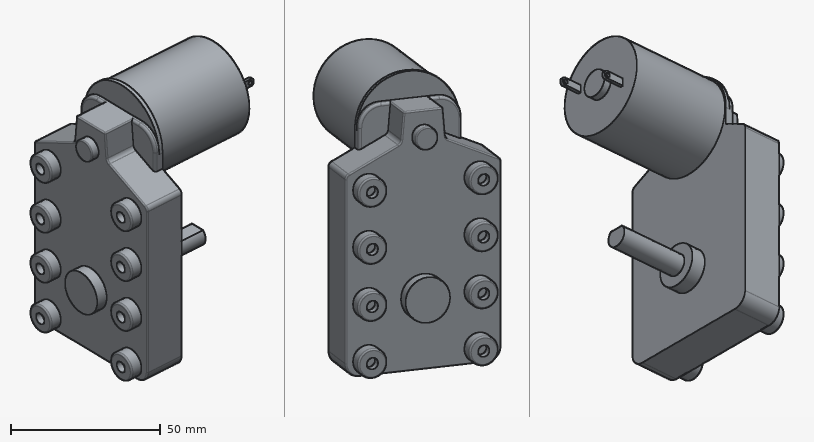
import cadquery as cq
import math


housing_width = 56.0
housing_depth = 15.8
shoulder_z = 70.9
shoulder_angle = 25
neck_half_width = 8.0
neck_draft = 5
neck_top_z = 91.1
bottom_corner_radius = 5.0
shoulder_radius = 2.0
edge_radius = 0.5

overall_height = 100.5
motor_diameter = 36.0
motor_length = 40.0
flange_half_width = 18.5
flange_thickness = 1.6
motor_z = 81.8

plate_thickness = 2.0
plate_corner_radius = 8.0
plate_edge_radius = 1.0

bearing_diameter = 10.0
bearing_length = 2.8
terminal_length = 8.2
terminal_width = 2.9
terminal_thickness = 1.2
terminal_x = 10.5
terminal_z_offset = 3.5
terminal_corner_radius = 1.1
terminal_hole_diameter = 1.5
terminal_hole_inset = 1.5

screw_head_diameter = 10.5
screw_head_height = 4.6
screw_head_radius = 0.6
screw_socket_diameter = 4.0
screw_socket_depth = 3.0
screw_pitch = 20.0
screw_rows = 4
first_screw_z = 5.5

shaft_z = first_screw_z + screw_pitch
shaft_boss_diameter = 16.0
rear_boss_length = 5.6
front_boss_length = 4.3
shaft_diameter = 8.0
shaft_end_y = 32.9
flat_length = 15.1
flat_depth = 1.1
pin_diameter = 8.0
pin_length = 3.2
pin_edge_radius = 0.4


def cylinder(diameter, y_start, y_end, x, z):
    """Cylinder along Y between two Y positions."""
    start = cq.Vector(x, y_start, z)
    direction = cq.Vector(0, y_end - y_start, 0)
    return cq.Workplane(obj=cq.Solid.makeCylinder(diameter / 2, abs(y_end - y_start), start, direction))


def make_housing():
    half_width = housing_width / 2
    neck_base_z = shoulder_z + (half_width - neck_half_width) * math.tan(math.radians(shoulder_angle))
    neck_top_half_width = neck_half_width - (neck_top_z - neck_base_z) * math.tan(math.radians(neck_draft))
    right_side = [
        (half_width, 0),
        (half_width, shoulder_z),
        (neck_half_width, neck_base_z),
        (neck_top_half_width, neck_top_z),
    ]
    left_side = [(-x, z) for x, z in reversed(right_side)]
    body = cq.Workplane("XZ").polyline(right_side + left_side).close().extrude(housing_depth)

    def round_corner_pair(solid, x, z, radius):
        """Round the two edges along Y that pass through (-x, z) and (x, z)."""
        size = 0.1
        for side in (-1, 1):
            low = (side * x - size, -housing_depth - size, z - size)
            high = (side * x + size, size, z + size)
            solid = solid.edges("|Y").edges(cq.selectors.BoxSelector(low, high)).fillet(radius)
        return solid

    body = round_corner_pair(body, half_width, 0, bottom_corner_radius)
    body = round_corner_pair(body, half_width, shoulder_z, shoulder_radius)
    body = round_corner_pair(body, neck_half_width, neck_base_z, shoulder_radius)
    body = round_corner_pair(body, neck_top_half_width, neck_top_z, edge_radius)
    return body.faces("<Y").edges().fillet(edge_radius)


def make_motor():
    can = cylinder(motor_diameter, 0, motor_length, 0, motor_z)
    bearing_end = motor_length + bearing_length
    bearing = cylinder(bearing_diameter, motor_length, bearing_end, 0, motor_z)
    return can.union(bearing)


def make_flange():
    """Round top on straight sides that run down into the housing."""
    return (
        cq.Workplane("XZ")
        .moveTo(-flange_half_width, shoulder_z)
        .lineTo(-flange_half_width, motor_z)
        .threePointArc((0, overall_height), (flange_half_width, motor_z))
        .lineTo(flange_half_width, shoulder_z)
        .close()
        .extrude(flange_thickness)
    )


def make_plate():
    height = neck_top_z - shoulder_z
    return (
        cq.Workplane("XZ", origin=(0, -flange_thickness, shoulder_z + height / 2))
        .rect(2 * flange_half_width, height)
        .extrude(plate_thickness)
        .edges("|Y and >Z")
        .fillet(plate_corner_radius)
        .faces("<Y")
        .edges("not <Z")
        .fillet(plate_edge_radius)
    )


def make_terminal(side):
    """Pierced solder lug with a rounded end; the +X lug sits high, the -X lug low."""
    z = motor_z + side * terminal_z_offset
    return (
        cq.Workplane("YZ", origin=(side * terminal_x, motor_length + terminal_length / 2, z))
        .rect(terminal_length, terminal_width)
        .extrude(terminal_thickness / 2, both=True)
        .edges("|X and >Y")
        .fillet(terminal_corner_radius)
        .faces(">X")
        .workplane(origin=(0, motor_length + terminal_length - terminal_hole_inset, z))
        .hole(terminal_hole_diameter)
    )


def make_screw_head(x, z):
    top_y = -housing_depth - screw_head_height
    head = cylinder(screw_head_diameter, -housing_depth, top_y, x, z)
    head = head.faces("<Y").edges().fillet(screw_head_radius)
    return head.cut(cylinder(screw_socket_diameter, top_y, top_y + screw_socket_depth, x, z))


def make_output():
    """Output shaft with a flat, and the boss that runs through the housing."""
    flat_z = shaft_z + shaft_diameter / 2 - flat_depth
    flat_cut = (
        cq.Workplane("XY")
        .box(shaft_diameter, flat_length, shaft_diameter, centered=(True, False, False))
        .translate((0, shaft_end_y - flat_length, flat_z))
    )
    shaft = cylinder(shaft_diameter, 0, shaft_end_y, 0, shaft_z).cut(flat_cut)
    front_boss_y = -housing_depth - front_boss_length
    boss = cylinder(shaft_boss_diameter, front_boss_y, rear_boss_length, 0, shaft_z)
    return shaft.union(boss)


def make_pin():
    pin = cylinder(pin_diameter, -housing_depth, -housing_depth - pin_length, 0, motor_z)
    return pin.faces("<Y").edges().fillet(pin_edge_radius)


result = make_housing().union(make_flange()).union(make_plate()).union(make_motor())
result = result.union(make_output()).union(make_pin())
for side in (-1, 1):
    result = result.union(make_terminal(side))
    for row in range(screw_rows):
        screw_z = first_screw_z + row * screw_pitch
        result = result.union(make_screw_head(side * screw_pitch, screw_z))